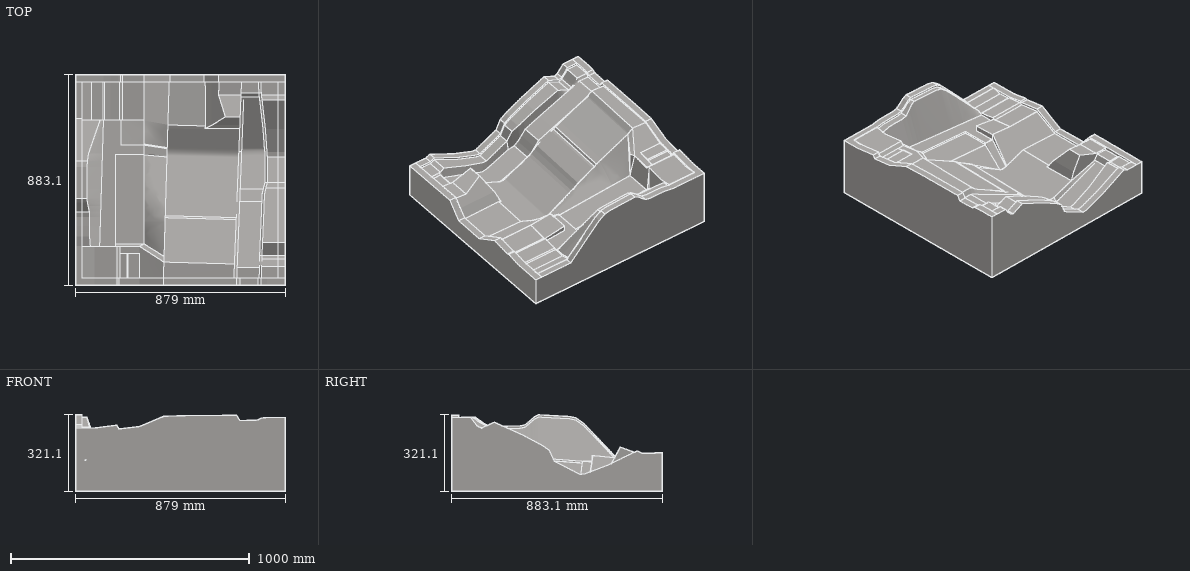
import cadquery as cq


LENGTH_X = 879.01
WIDTH_Y = 883.14
HEIGHT_Z = 321.09

FRAME_LEFT = 28
FRAME_RIGHT = 848
FRAME_FRONT = 31
FRAME_BACK = 852
FRAME_STEP = 10

FLATNESS = 1e-6

POCKET_FRONT = 164
POCKET_BACK = 693
POCKET_RIGHT = 287
FLOOR_BACK_Z = 115
FLOOR_RISE = 0.076
RECESS_DEPTH = 8
RECESS_LEFT = 167
RECESS_FRONT = 174
RECESS_BACK = 549
RECESS_RIM_Z = 258
PAD_LEFT = 191
PAD_FRONT = 589
PAD_LEFT_Z = (147, 130)
PAD_RIGHT_Z = (150, 140)

SHELF_RIGHT = 268
RIB_BACK = 133

CHANNEL_LEFT_X = (368, 392)
CHANNEL_RIGHT_X = (663, 695)
CHANNEL_SKEW = 8
FRONT_RIM_Y = 122
FRONT_CREST_Y = 98

GROOVE_LEFT_RUN = 12
GROOVE_RIGHT_RUN = 10

LEFT_FRAME = [
    (0, 266), (164, 266), (204, 273), (248, 274), (286, 274), (308, 279), (331, 298),
    (346, 312), (364, HEIGHT_Z), (403, 319), (495, 314), (521, 308), (551, 287),
    (592, 245), (700, 131), (WIDTH_Y, 131),
]
RIGHT_FRAME = [
    (0, 310), (80, 309), (102, 281), (110, 272), (125, 265), (179, 290), (298, 236),
    (381, 192), (409, 172), (431, 126), (538, 71), (557, 73), (655, 110), (777, 170),
    (798, 160), (WIDTH_Y, 160),
]
FRONT_FRAME = [
    (0, 266), (81, 266), (167, 277), (173, 277), (182, 262), (268, 272), (369, 315),
    (470, 318), (675, 319), (688, 297), (763, 299), (776, 307), (803, 310),
    (LENGTH_X, 310),
]
BACK_FRAME = [
    (0, 131), (118, 132), (148, 136), (182, 143), (189, 143), (197, 140), (287, 152),
    (395, 89), (537, 91), (564, 122), (598, 162), (LENGTH_X, 160),
]

FRONT_SHELF = [(FRAME_LEFT, 268), (81, 258), (169, 268), (173, 268), (186, 252)]
FRONT_RIB = [(215, 257), (219, 261)]
SHELF_END = (SHELF_RIGHT, 264)
BACK_SHELF = [
    (FRAME_LEFT, 132), (67, 121), (115, 123), (121, 127), (148, 129), (185, 135),
    (197, 129), (POCKET_RIGHT, 140),
]

CHANNEL_VALLEY = [(538, 43), (553, 34), (577, 44)]
CHANNEL = [
    (FRAME_FRONT, 310), (FRONT_CREST_Y, 312), (118, 294), (FRONT_RIM_Y, 291), (258, 219),
    (284, 206), (292, 195), (303, 191), (378, 148), (390, 135), (408, 118), (420, 110),
] + CHANNEL_VALLEY + [(657, 76), (672, 81), (FRAME_BACK, 79)]
GROOVE_VALLEY = [(522, 37), (560, 20), (574, 27)]
GROOVE_FLOOR = [
    (FRAME_FRONT, 287), (76, 288), (84, 285), (281, 192), (352, 157), (372, 131),
    (389, 107), (405, 88),
] + GROOVE_VALLEY + [(790, 122), (805, 146), (FRAME_BACK, 146)]
GROOVE_RIGHT_RIM = [
    (FRAME_FRONT, 779), (110, 780), (180, 783), (298, 788), (381, 791), (409, 797),
    (431, 803), (538, 803), (655, 795), (777, 781), (798, 778), (FRAME_BACK, 776),
]
SLOPE = [
    (RECESS_FRONT, 146, FRONT_RIM_Y), (267, 140, 267), (547, 119, 538),
    (550, 126, 542), (588, 128, 573), (592, 150, 577), (690, 140, 672),
    (FRAME_BACK, 138, FRAME_BACK),
]
LEDGE = [
    (POCKET_FRONT, 38, 62), (204, 38, 59), (248, 38, 58), (286, 38, 58), (308, 38, 58),
    (331, 38, 53), (346, 38, 50), (364, 38, 48), (403, 38, 48), (495, 38, 48),
    (521, 38, 50), (551, 38, 54), (592, 38, 68), (POCKET_BACK, 67, 103),
]
LEDGE_FOOT_X = (101, 117)

BOSS_LEFT_WALL = [(543, 79), (570, 118), (603, 157), (640, 201)]
BOSS_TOP = [(657, 76), (670, 117), (706, 186), (798, 152), (FRAME_BACK, 155)]


def value_at(profile, position):
    """Value of a profile at a position, linear between its points."""
    for (start, z_start), (end, z_end) in zip(profile, profile[1:]):
        if start <= position <= end:
            return z_start + (z_end - z_start) * (position - start) / (end - start)
    raise ValueError("position outside profile")


def between(ends, y, y_front=FRAME_FRONT, y_back=FRAME_BACK):
    """X of a straight plan line given its X at y_front and y_back."""
    return ends[0] + (ends[1] - ends[0]) * (y - y_front) / (y_back - y_front)


def face(*points):
    """Flat face with the given corners."""
    return cq.Face.makeFromWires(cq.Wire.makePolygon([cq.Vector(*p) for p in points], close=True))


def same_plane(a, b, c, d):
    """True when four corners lie in one plane."""
    va, vb, vc, vd = (cq.Vector(*p) for p in (a, b, c, d))
    normal = (vb - va).cross(vc - va)
    return abs(normal.normalized().dot(vd - va)) < FLATNESS


def patch(a, b, c, d):
    """Four-sided face: flat when its corners are coplanar, otherwise ruled."""
    if same_plane(a, b, c, d):
        return face(a, b, c, d)
    side = cq.Edge.makeLine(cq.Vector(*a), cq.Vector(*d))
    opposite_side = cq.Edge.makeLine(cq.Vector(*b), cq.Vector(*c))
    return cq.Face.makeRuledSurface(side, opposite_side)


def panel(rows):
    """Solid between Z = 0 and the sheet spanned by rows of 3D points."""
    def ground(p):
        return (p[0], p[1], 0)

    faces = []
    for row, following in zip(rows, rows[1:]):
        for a, b, c, d in zip(row, following, following[1:], row[1:]):
            faces.append(patch(a, b, c, d))
            faces.append(face(ground(a), ground(b), ground(c), ground(d)))
    first_ends = [row[0] for row in rows]
    last_ends = [row[-1] for row in rows]
    for border in (rows[0], rows[-1], first_ends, last_ends):
        for a, b in zip(border, border[1:]):
            faces.append(face(a, b, ground(b), ground(a)))
    return cq.Workplane(obj=cq.Solid.makeSolid(cq.Shell.makeShell(faces)))


def along_x(profile, x_start, x_end):
    """Bar with a (y, z) profile, running from x_start to x_end."""
    outline = [(profile[0][0], 0)] + profile + [(profile[-1][0], 0)]
    return cq.Workplane("YZ", origin=(x_start, 0, 0)).polyline(outline).close().extrude(x_end - x_start)


def along_y(profile, y_start, y_end):
    """Bar with an (x, z) profile, running from y_start to y_end."""
    outline = [(profile[0][0], 0)] + profile + [(profile[-1][0], 0)]
    return cq.Workplane("XZ", origin=(0, y_start, 0)).polyline(outline).close().extrude(y_start - y_end)


def floor_z(y):
    """Height of the sloping pocket floor."""
    return FLOOR_BACK_Z + FLOOR_RISE * (POCKET_BACK - y)


def frame():
    """Four bars of the raised frame."""
    return [
        along_x(LEFT_FRAME, 0, FRAME_LEFT),
        along_x(RIGHT_FRAME, FRAME_RIGHT, LENGTH_X),
        along_y(FRONT_FRAME, 0, FRAME_FRONT),
        along_y(BACK_FRAME, FRAME_BACK, WIDTH_Y),
    ]


def shelves():
    """Shelves in front of and behind the pocket."""
    return [
        along_y(FRONT_SHELF + FRONT_RIB + [SHELF_END], FRAME_FRONT, RIB_BACK),
        along_y(FRONT_SHELF + [SHELF_END], RIB_BACK, POCKET_FRONT),
        along_y(BACK_SHELF, POCKET_BACK, FRAME_BACK),
    ]


def ledge():
    """Ledge beside the left frame and the steep wall below it."""
    frame_row = []
    crease_row = []
    edge_row = []
    foot_row = []
    for y, crease_x, edge_x in LEDGE:
        frame_z = value_at(LEFT_FRAME, y)
        ledge_z = frame_z - FRAME_STEP
        at_back = y == POCKET_BACK
        frame_row.append((FRAME_LEFT, y, frame_z if at_back else ledge_z))
        crease_row.append((crease_x, y, ledge_z))
        edge_row.append((edge_x, y, ledge_z))
        foot_row.append((between(LEDGE_FOOT_X, y, POCKET_FRONT, POCKET_BACK), y, floor_z(y)))
    return panel([frame_row, crease_row, edge_row, foot_row])


def floor_panel(x_front, x_back, x_right, y_front, y_back, drop=0):
    """Piece of the pocket floor; its left side runs from x_front to x_back."""
    z_front = floor_z(y_front) - drop
    z_back = floor_z(y_back) - drop
    left = [(x_front, y_front, z_front), (x_back, y_back, z_back)]
    right = [(x_right, y_front, z_front), (x_right, y_back, z_back)]
    return panel([left, right])


def pocket_floor():
    """Pocket floor with its recess, the recess front wall and the raised pad."""
    foot_front, foot_back = LEDGE_FOOT_X
    pad_ends = (PAD_FRONT, POCKET_BACK)
    pad_left_side = [(PAD_LEFT, y, z) for y, z in zip(pad_ends, PAD_LEFT_Z)]
    pad_right_side = [(POCKET_RIGHT, y, z) for y, z in zip(pad_ends, PAD_RIGHT_Z)]
    front_rim = [(RECESS_LEFT, POCKET_FRONT, RECESS_RIM_Z), (SHELF_RIGHT, POCKET_FRONT, SHELF_END[1])]
    recess_z = floor_z(RECESS_FRONT) - RECESS_DEPTH
    front_foot = [(RECESS_LEFT, RECESS_FRONT, recess_z), (POCKET_RIGHT, RECESS_FRONT, recess_z)]
    return [
        panel([front_rim, front_foot]),
        floor_panel(foot_front, foot_back, RECESS_LEFT, POCKET_FRONT, POCKET_BACK),
        floor_panel(RECESS_LEFT, RECESS_LEFT, POCKET_RIGHT, RECESS_BACK, PAD_FRONT),
        floor_panel(RECESS_LEFT, RECESS_LEFT, PAD_LEFT, PAD_FRONT, POCKET_BACK),
        floor_panel(RECESS_LEFT, RECESS_LEFT, POCKET_RIGHT, RECESS_FRONT, RECESS_BACK, RECESS_DEPTH),
        panel([pad_left_side, pad_right_side]),
    ]


def channel_point(y):
    """Point on the left end of the channel."""
    return (between(CHANNEL_LEFT_X, y), y, value_at(CHANNEL, y))


def slope():
    """Twisted slopes from the pocket and the front shelf up to the channel."""
    pocket_side = [(POCKET_RIGHT, y, z) for y, z, _ in SLOPE]
    channel_side = [channel_point(y) for _, _, y in SLOPE]
    shelf_z = SHELF_END[1]
    shelf_side = [
        (SHELF_RIGHT, FRAME_FRONT, shelf_z),
        (SHELF_RIGHT, POCKET_FRONT, shelf_z),
        (POCKET_RIGHT, RECESS_FRONT, shelf_z),
    ]
    crest_side = [channel_point(y) for y in (FRAME_FRONT, FRONT_CREST_Y, FRONT_RIM_Y)]
    return [panel([pocket_side, channel_side]), panel([shelf_side, crest_side])]


def right_end_profile():
    """Channel profile moved towards the front, between its fixed ends."""
    inner = [(y - CHANNEL_SKEW, z) for y, z in CHANNEL[1:-1]]
    return [CHANNEL[0]] + inner + [CHANNEL[-1]]


def channel():
    """Cross channel with a sharp valley bottom."""
    left = [channel_point(y) for y, _ in CHANNEL]
    right = [(between(CHANNEL_RIGHT_X, y), y, z) for y, z in right_end_profile()]
    return panel([left, right])


def valley_fill(left, right):
    """Fill with a curved top between two valleys given as (near, bottom, far) 3D points."""
    wires = []
    for near, bottom, far in (left, right):
        near, bottom, far = (cq.Vector(*p) for p in (near, bottom, far))
        near_ground = cq.Vector(near.x, near.y, 0)
        far_ground = cq.Vector(far.x, far.y, 0)
        edges = [cq.Edge.makeBezier([near, bottom, far])]
        edges.append(cq.Edge.makeLine(far, far_ground))
        edges.append(cq.Edge.makeLine(far_ground, near_ground))
        edges.append(cq.Edge.makeLine(near_ground, near))
        wires.append(cq.Wire.assembleEdges(edges))
    return cq.Workplane(obj=cq.Solid.makeLoft(wires, True))


def channel_valley_fill():
    left = [channel_point(y) for y, _ in CHANNEL_VALLEY]
    shifted = [(y - CHANNEL_SKEW, z) for y, z in CHANNEL_VALLEY]
    right = [(between(CHANNEL_RIGHT_X, y), y, z) for y, z in shifted]
    return valley_fill(left, right)


def groove_valley_fill():
    left = []
    right = []
    right_x = value_at(GROOVE_RIGHT_RIM, GROOVE_VALLEY[0][0]) - GROOVE_RIGHT_RUN
    for y, z in GROOVE_VALLEY:
        left.append((between(CHANNEL_RIGHT_X, y) + GROOVE_LEFT_RUN, y, z))
        right.append((right_x, y, z))
    return valley_fill(left, right)


def boss():
    """Boss beside the channel, bounded by its left wall, its top and the groove line."""
    x_start = BOSS_LEFT_WALL[0][0]
    x_end = CHANNEL_RIGHT_X[1]
    y_start = BOSS_TOP[0][0]
    wall = along_y(BOSS_LEFT_WALL + [(x_end, BOSS_LEFT_WALL[-1][1])], y_start, FRAME_BACK)
    top = along_x(BOSS_TOP, x_start, x_end)
    plan = [
        (x_start, y_start),
        (between(CHANNEL_RIGHT_X, y_start), y_start),
        (x_end, FRAME_BACK),
        (x_start, FRAME_BACK),
    ]
    footprint = cq.Workplane().polyline(plan).close().extrude(HEIGHT_Z)
    return wall.intersect(top).intersect(footprint)


def groove_and_strip():
    """Groove beside the channel and the strip between it and the right frame."""
    left_rim = []
    left_foot = []
    right_foot = []
    right_rim = []
    strip_edge = []
    end_profile = right_end_profile()
    stations = {y for y, _ in GROOVE_FLOOR + GROOVE_RIGHT_RIM + RIGHT_FRAME}
    for y in sorted(y for y in stations if FRAME_FRONT <= y <= FRAME_BACK):
        floor = value_at(GROOVE_FLOOR, y)
        left_x = between(CHANNEL_RIGHT_X, y)
        right_x = value_at(GROOVE_RIGHT_RIM, y)
        strip_z = value_at(RIGHT_FRAME, y) - FRAME_STEP
        left_rim.append((left_x, y, max(floor, value_at(end_profile, y))))
        left_foot.append((left_x + GROOVE_LEFT_RUN, y, floor))
        right_foot.append((right_x - GROOVE_RIGHT_RUN, y, floor))
        right_rim.append((right_x, y, strip_z))
        strip_edge.append((FRAME_RIGHT, y, strip_z))
    return panel([left_rim, left_foot, right_foot, right_rim, strip_edge])


pieces = frame() + shelves() + pocket_floor() + slope()
pieces += [ledge(), channel(), boss(), groove_and_strip()]
pieces += [channel_valley_fill(), groove_valley_fill()]
solids = [piece.val() for piece in pieces]
result = cq.Workplane(obj=solids[0].fuse(*solids[1:]).clean())